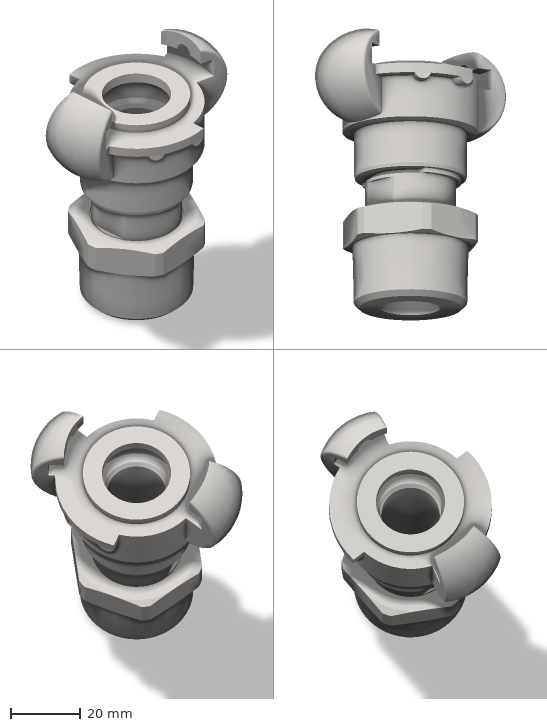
import cadquery as cq
import math

end_chamfer_top = 1.6
hex_bottom = 18.15
hex_top = 27.3
flat_top = 36.2
groove_bottom = 37.1
collar_bottom = 38.4
collar_top = 51.6
head_bottom = 52.25
head_top = 67.3
seal_top = 69.95

thread_end_radius = 14.8
thread_small_radius = 16.4
thread_large_radius = 16.8
neck_radius = 13.2
groove_radius = 23.0 / 2
neck_relief_radius = 13.55
neck_relief_depth = 0.8
collar_radius = 16.3
collar_edge_chamfer = 0.2
collar_edge_height = 0.95
head_radius = 19.7
seal_radius = 31.0 / 2

bore_radius = 17.0 / 2
countersink_radius = 19.0 / 2
seal_bore_radius = 20.0 / 2
seal_pocket_radius = 25.8 / 2
pocket_floor_radius = 12.4
seal_lip_thickness = 3.1
pocket_floor = 59.8
pocket_bulge_height = 62.0
countersink_depth = 0.95

hex_across_flats = 35.85
hex_corner_diameter = 40.0
hex_chamfer_height = 0.6
neck_flat_distance = 12.0

ring_radius = 14.7
ring_opening_y = -6.5

flange_radius = 47.0 / 2
flange_thickness = 2.85
detent_radius = 2.45
detent_axis_drop = 2.15
detent_inner_radius = 15.1
detent_angles = (0.0, 35.0)

claw_axis_y = 17.8
claw_axis_z = 66.0
claw_reach = 63.0 / 2
claw_barrel_radius = claw_reach - claw_axis_y
claw_crown_radius = 19.3
claw_blank_half_width = 12.7
claw_side_angle = 17.4
claw_half_width_at_head = 7.1
claw_edge_fillet = 0.8
claw_root_y = 15.85
hook_bottom = 73.4
hook_tip_radius = 21.0
hook_throat_radius = 25.5

clearance = 7.9


def cylinder(radius, bottom, top):
    return cq.Workplane("XY").workplane(offset=bottom).circle(radius).extrude(top - bottom)


def make_turned_body():
    outline = [
        (0, 0),
        (thread_end_radius, 0),
        (thread_small_radius, end_chamfer_top),
        (thread_large_radius, hex_bottom),
        (neck_radius, hex_bottom),
        (neck_radius, groove_bottom),
        (groove_radius, groove_bottom),
        (groove_radius, collar_bottom),
        (collar_radius - collar_edge_chamfer, collar_bottom),
        (collar_radius, collar_bottom + collar_edge_height),
        (collar_radius, collar_top),
        (head_radius, head_bottom),
        (head_radius, head_top),
        (seal_radius, head_top),
        (seal_radius, seal_top),
        (0, seal_top),
    ]
    body = cq.Workplane("XZ").polyline(outline).close().revolve(360, (0, 0), (0, 1))
    for side in (-1, 1):
        waste = cq.Workplane("XY").box(
            2 * neck_radius, neck_radius, flat_top - hex_top, centered=(True, True, False)
        )
        waste_center_y = side * (neck_flat_distance + neck_radius / 2)
        body = body.cut(waste.translate((0, waste_center_y, hex_top)))
    return body


def make_hexagon():
    """Hexagon with corners toward +Y and -Y, turned down and chamfered at its corners."""
    point_diameter = hex_across_flats / math.cos(math.radians(30))
    prism = (
        cq.Workplane("XY")
        .workplane(offset=hex_bottom)
        .polygon(6, point_diameter)
        .extrude(hex_top - hex_bottom)
        .rotate((0, 0, 0), (0, 0, 1), 90)
    )
    chamfer_width = (hex_corner_diameter - hex_across_flats) / 2
    turned = (
        cylinder(hex_corner_diameter / 2, hex_bottom, hex_top)
        .faces("<Z or >Z")
        .chamfer(hex_chamfer_height, chamfer_width)
    )
    return prism.intersect(turned)


def make_retaining_ring():
    ring = cylinder(ring_radius, groove_bottom, collar_bottom)
    opening = cq.Workplane("XY").box(
        2 * ring_radius, ring_radius, collar_bottom - groove_bottom, centered=(True, True, False)
    )
    return ring.cut(opening.translate((0, ring_opening_y - ring_radius / 2, groove_bottom)))


def make_flange_plate():
    """Quarter plate on the -X, +Y side, its end face tangent to the first detent."""
    plate = cylinder(flange_radius, head_top - flange_thickness, head_top)
    rim = cylinder(flange_radius, 0, head_top)
    for angle in detent_angles:
        detent = (
            cq.Workplane("YZ")
            .center(0, head_top - detent_axis_drop)
            .circle(detent_radius)
            .extrude(-flange_radius - clearance)
            .cut(cylinder(detent_inner_radius, 0, seal_top))
            .rotate((0, 0, 0), (0, 0, 1), -angle)
        )
        plate = plate.union(detent.intersect(rim))
    quarter = cq.Workplane("XY").box(
        flange_radius, flange_radius + detent_radius, seal_top, centered=False
    )
    return plate.intersect(quarter.translate((-flange_radius, -detent_radius, 0)))


def make_claw():
    """Claw on the +Y side: a crowned barrel around an X axis, cut to a wedge and hollowed to a hook."""
    half = claw_blank_half_width
    crown_drop = claw_crown_radius - math.sqrt(claw_crown_radius**2 - half**2)
    barrel = (
        cq.Workplane("XY", origin=(0, claw_axis_y, claw_axis_z))
        .moveTo(-half, 0)
        .lineTo(-half, claw_barrel_radius - crown_drop)
        .threePointArc((0, claw_barrel_radius), (half, claw_barrel_radius - crown_drop))
        .lineTo(half, 0)
        .close()
        .revolve(360, (0, 0), (1, 0))
    )
    side_slope = math.tan(math.radians(claw_side_angle))
    side_root_y = math.sqrt(head_radius**2 - claw_half_width_at_head**2)
    outer_y = claw_reach + clearance
    root_half = claw_half_width_at_head + (claw_root_y - side_root_y) * side_slope
    outer_half = claw_half_width_at_head + (outer_y - side_root_y) * side_slope
    top = claw_axis_z + claw_barrel_radius + clearance
    wedge = (
        cq.Workplane("XY")
        .moveTo(-root_half, claw_root_y)
        .lineTo(root_half, claw_root_y)
        .lineTo(outer_half, outer_y)
        .lineTo(-outer_half, outer_y)
        .close()
        .extrude(top)
    )
    notch = (
        cq.Workplane("XZ", origin=(0, 0, hook_bottom))
        .circle(detent_radius)
        .extrude(-hook_throat_radius)
    )
    return (
        barrel.intersect(wedge)
        .edges("%BSPLINE and (<X or >X)")
        .fillet(claw_edge_fillet)
        .cut(cylinder(hook_throat_radius, head_top, hook_bottom))
        .cut(cylinder(hook_tip_radius, hook_bottom, top))
        .cut(notch)
    )


def make_bore():
    """Through bore with a countersunk step, a bulging seal pocket and the seal opening above it."""
    pocket_top = seal_top - seal_lip_thickness
    return (
        cq.Workplane("XZ")
        .lineTo(bore_radius, 0)
        .lineTo(bore_radius, pocket_floor - countersink_depth)
        .lineTo(countersink_radius, pocket_floor)
        .lineTo(pocket_floor_radius, pocket_floor)
        .threePointArc((seal_pocket_radius, pocket_bulge_height), (seal_bore_radius, pocket_top))
        .lineTo(seal_bore_radius, seal_top)
        .lineTo(0, seal_top)
        .close()
        .revolve(360, (0, 0), (0, 1))
    )


def make_neck_relief():
    """Narrow ring groove in the top of the hexagon, around the neck."""
    floor = hex_top - neck_relief_depth
    return cylinder(neck_relief_radius, floor, hex_top).cut(cylinder(neck_radius, floor, hex_top))


result = (
    make_turned_body()
    .union(make_hexagon())
    .union(make_retaining_ring())
    .cut(make_neck_relief())
)
for half_turn in (0, 180):
    for feature in (make_flange_plate(), make_claw()):
        result = result.union(feature.rotate((0, 0, 0), (0, 0, 1), half_turn))
result = result.cut(make_bore())